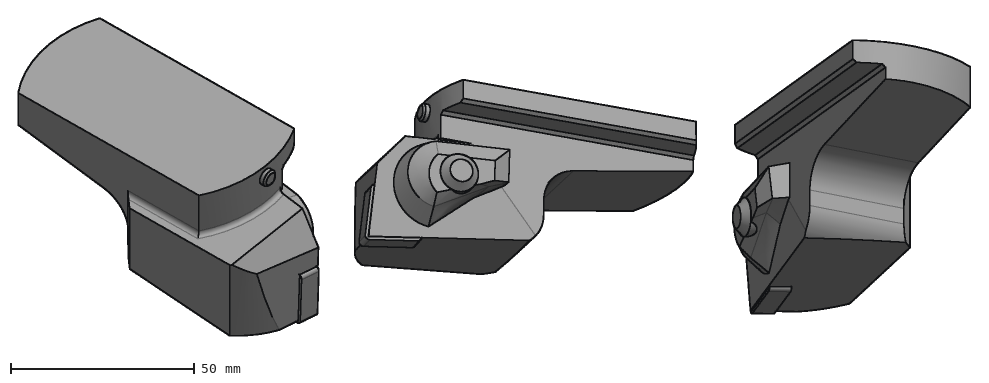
import cadquery as cq
import math

top_z = 45.0
shank_radius = 38.5
shank_center_y = 25.0
shank_front_y = 4.0
shank_back_y = 33.0
flange_back_y = 41.6
flange_height = 6.6
flange_chamfer = 1.0
underside_start_z = 34.2
underside_angle = math.radians(10)

head_left_x = 45.5
head_top_z = 30.5
head_depth_below = 4.8
underside_radius = 10.5
underside_center_z = 17.4
heel_radius = 10.0
heel_center_z = 12.9
head_front_right_x = 85.2
nose_radius = 35.0
nose_center_x = 61.0
nose_center_y = 23.1
top_bevel_x = 85.6
top_bevel_angle = math.radians(49)
cove_radius = 1.4

insert_edge = 16.1
insert_angle = math.radians(80)
insert_thickness = 6.4
insert_nose_radius = 1.1
insert_tip = (95.4, 25.1, -0.1)
rake_slope_x = 0.143
rake_slope_z = 0.114
edge_rise = 0.089
insert_overhang = 0.9
rake_recess = 0.4

clamp_center_x = 78.2
clamp_center_z = 18.6
clamp_foot = dict(
    height=-1.4,
    left=-21.0,
    top=11.1,
    nose=10.9,
    bottom=14.5,
    corner=-1.05,
    heel=(-11.4, 4.3),
)
clamp_shoulder = dict(
    height=5.0,
    left=-21.0,
    top=9.8,
    nose=7.6,
    bottom=8.9,
    corner=-0.5,
    heel=(-15.25, 1.4),
)
clamp_crown = dict(
    height=7.8,
    left=-16.2,
    top=5.2,
    nose=2.4,
    bottom=5.7,
    corner=0.5,
    heel=(-12.4, 1.9),
)
screw_x = 72.1
screw_z = 19.2
screw_diameter = 10.8
screw_top_diameter = 6.4
screw_height = 10.1

plug_diameter = 5.0
plug_z = 41.1
plug_end_x = 78.8
plug_chamfer = 0.6

rake_normal = cq.Vector(rake_slope_x, 1, -rake_slope_z)
lower_edge = cq.Vector(-1, rake_slope_x + rake_slope_z * edge_rise, edge_rise)
rake_plane = cq.Plane(origin=insert_tip, xDir=lower_edge, normal=rake_normal)


def rake_face_y(x, z):
    """Y of the +Y face of the head at a given X and Z."""
    tip_x, tip_y, tip_z = insert_tip
    lift = rake_recess * rake_normal.Length
    return tip_y + lift - rake_slope_x * (x - tip_x) + rake_slope_z * (z - tip_z)


def make_shank():
    arc_center_x = head_left_x - underside_radius
    slope_end = (
        arc_center_x + underside_radius * math.sin(underside_angle),
        underside_center_z + underside_radius * math.cos(underside_angle),
    )
    arc_middle_angle = math.radians(40)
    arc_middle = (
        arc_center_x + underside_radius * math.cos(arc_middle_angle),
        underside_center_z + underside_radius * math.sin(arc_middle_angle),
    )
    overlap_x = head_left_x + cove_radius
    web = (
        cq.Workplane("XZ", origin=(0, shank_back_y, 0))
        .moveTo(0, top_z)
        .lineTo(0, underside_start_z)
        .lineTo(*slope_end)
        .threePointArc(arc_middle, (head_left_x, underside_center_z))
        .lineTo(overlap_x, underside_center_z)
        .lineTo(overlap_x, head_top_z)
        .lineTo(2 * shank_radius, head_top_z)
        .lineTo(2 * shank_radius, top_z)
        .close()
        .extrude(shank_back_y - shank_front_y)
    )
    flange_z = top_z - flange_height
    root_y = shank_back_y - flange_chamfer
    flange = (
        cq.Workplane("YZ")
        .polyline([
            (root_y, top_z),
            (root_y, flange_z - 2 * flange_chamfer),
            (shank_back_y, flange_z - flange_chamfer),
            (shank_back_y + flange_chamfer, flange_z),
            (flange_back_y - flange_chamfer, flange_z),
            (flange_back_y, flange_z + flange_chamfer),
            (flange_back_y, top_z),
        ])
        .close()
        .extrude(2 * shank_radius)
    )
    cylinder = (
        cq.Workplane("XY")
        .center(shank_radius, shank_center_y)
        .circle(shank_radius)
        .extrude(top_z)
    )
    return web.union(flange).intersect(cylinder)


def head_plan(plan_top_z):
    """Outline seen from above: chamfered -Y corner on the left, round nose on the right."""
    start_angle = math.atan2(-nose_center_y, head_front_right_x - nose_center_x)
    start_radius = math.hypot(nose_center_y, head_front_right_x - nose_center_x)
    middle = (
        nose_center_x + start_radius * math.cos(start_angle / 2),
        nose_center_y + start_radius * math.sin(start_angle / 2),
    )
    nose_end = (nose_center_x + start_radius, nose_center_y)
    return (
        cq.Workplane("XY", origin=(0, 0, -head_depth_below))
        .moveTo(head_left_x, shank_front_y)
        .lineTo(head_left_x + shank_front_y, 0)
        .lineTo(head_front_right_x, 0)
        .threePointArc(middle, nose_end)
        .lineTo(nose_end[0], shank_back_y)
        .lineTo(head_left_x, shank_back_y)
        .close()
        .extrude(plan_top_z + head_depth_below)
    )


def head_side():
    """Outline seen from -Y: round heel at the lower left, bevel at the upper right."""
    bevel_run = 19.1
    right_x = top_bevel_x + bevel_run
    heel_center_x = head_left_x + heel_radius
    heel_offset = heel_radius * math.sqrt(0.5)
    return (
        cq.Workplane("XZ", origin=(0, flange_back_y, 0))
        .moveTo(head_left_x, head_top_z)
        .lineTo(top_bevel_x, head_top_z)
        .lineTo(right_x, head_top_z - bevel_run * math.tan(top_bevel_angle))
        .lineTo(right_x, -head_depth_below)
        .lineTo(heel_center_x, -head_depth_below)
        .lineTo(heel_center_x, heel_center_z - heel_radius)
        .threePointArc(
            (heel_center_x - heel_offset, heel_center_z - heel_offset),
            (head_left_x, heel_center_z),
        )
        .close()
        .extrude(flange_back_y)
    )


def head_flanks():
    """Prism square to the rake face; its sides run parallel to the insert flanks, set back from them."""
    reach = 57.2
    corner = (insert_overhang / math.tan(insert_angle / 2), insert_overhang)
    upper = (corner[0] + reach * math.cos(insert_angle), corner[1] + reach * math.sin(insert_angle))
    return (
        cq.Workplane(rake_plane)
        .workplane(offset=rake_recess)
        .polyline([corner, upper, (reach, upper[1]), (reach, corner[1])])
        .close()
        .extrude(-reach)
    )


def make_cove():
    """Slab over the head top, flared like a concave fillet along the flat and the round shank sides."""
    slab_top_z = head_top_z + cove_radius
    arc_inset = cove_radius * (1 - math.sqrt(0.5))
    reach = 2 * (shank_radius + cove_radius)

    def flared_profile(plane, wall):
        return (
            cq.Workplane(plane)
            .moveTo(0, head_top_z)
            .lineTo(wall + cove_radius, head_top_z)
            .threePointArc((wall + arc_inset, head_top_z + arc_inset), (wall, slab_top_z))
            .lineTo(0, slab_top_z)
            .close()
        )

    flat_plane = cq.Plane(origin=(0, shank_center_y, 0), xDir=(0, -1, 0), normal=(-1, 0, 0))
    flat_front = flared_profile(flat_plane, shank_center_y - shank_front_y).extrude(-reach)
    flat_back = (
        cq.Workplane("XY", origin=(0, shank_center_y, head_top_z))
        .rect(reach, shank_back_y - shank_center_y, centered=False)
        .extrude(cove_radius)
    )
    round_plane = cq.Plane(origin=(shank_radius, shank_center_y, 0), xDir=(1, 0, 0), normal=(0, -1, 0))
    round_flare = flared_profile(round_plane, shank_radius).revolve(360, (0, 0, 0), (0, 1, 0))
    return (
        flat_front.union(flat_back)
        .intersect(round_flare)
        .intersect(head_plan(slab_top_z))
        .intersect(head_flanks())
    )


def clamp_frame(x, z):
    """Plane on the +Y face of the head, facing out, with local x along X and local y down."""
    return cq.Plane(
        origin=(x, rake_face_y(x, z), z),
        xDir=(1, -rake_slope_x, 0),
        normal=rake_normal,
    )


def make_clamp():
    """Two ruled lofts stacked on the head: a steep wall, then a flatter crown."""
    frame = cq.Workplane(clamp_frame(clamp_center_x, clamp_center_z))

    def outline(height, left, top, nose, bottom, corner, heel):
        return (
            frame.workplane(offset=height)
            .moveTo(left, -top)
            .lineTo(0, -top)
            .threePointArc((nose, 0), (0, bottom))
            .lineTo(*heel)
            .lineTo(left, corner)
            .close()
            .val()
        )

    foot = outline(**clamp_foot)
    shoulder = outline(**clamp_shoulder)
    crown = outline(**clamp_crown)
    wall = cq.Workplane(cq.Solid.makeLoft([foot, shoulder], True))
    cap = cq.Workplane(cq.Solid.makeLoft([shoulder, crown], True))
    return wall.union(cap)


def make_clamp_screw():
    return (
        cq.Workplane(clamp_frame(screw_x, screw_z))
        .circle(screw_diameter / 2)
        .extrude(screw_height)
        .faces(cq.selectors.DirectionMinMaxSelector(rake_normal))
        .chamfer((screw_diameter - screw_top_diameter) / 2)
    )


def make_plug():
    return (
        cq.Workplane("YZ", origin=(shank_radius, shank_center_y, plug_z))
        .circle(plug_diameter / 2)
        .extrude(plug_end_x - shank_radius)
        .faces(">X")
        .chamfer(plug_chamfer)
    )


def make_insert():
    run = insert_edge * math.cos(insert_angle)
    rise = insert_edge * math.sin(insert_angle)
    return (
        cq.Workplane(rake_plane)
        .polyline([(0, 0), (run, rise), (run + insert_edge, rise), (insert_edge, 0)])
        .close()
        .extrude(-insert_thickness)
        .edges(cq.selectors.ParallelDirSelector(rake_normal))
        .fillet(insert_nose_radius)
    )


insert = make_insert()
head = head_plan(head_top_z).intersect(head_side()).intersect(head_flanks())
holder = make_shank().union(head).union(make_cove())
holder = holder.union(make_plug()).union(make_clamp()).union(make_clamp_screw()).cut(insert)

result = cq.Compound.makeCompound([holder.val(), insert.val()])